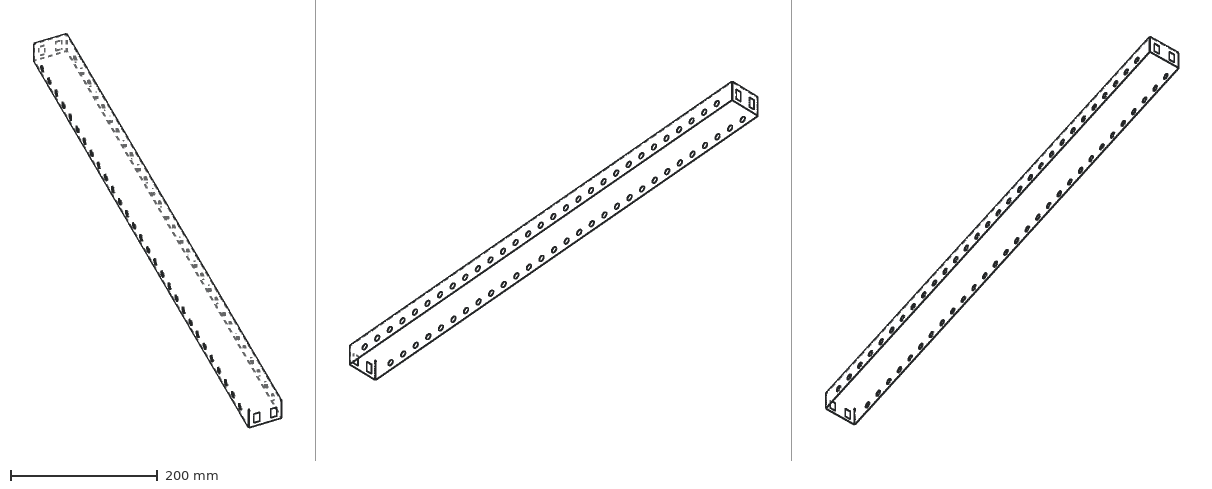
import cadquery as cq

length = 762.0
width = 50.0
height = 35.0

sheet = 1.5
inner_bend_radius = 1.0
outer_bend_radius = inner_bend_radius + sheet

corner_gap = 0.1
corner_notch = sheet + corner_gap

bend_relief = 2.0

hole_diameter = 9.0
hole_pitch = 25.0
hole_count = 29
hole_height = 12.5

slot_width = 8.5
slot_length = 17.0
slots_per_end = 2
slot_pitch = 25.0
slot_height = 15.25


def rounded_top_block(size_x, size_y, size_z, top_radius):
    """Block standing on Z = 0 whose top rim is rounded over."""
    block = cq.Workplane("XY").box(size_x, size_y, size_z, centered=(True, True, False))
    return block.faces(">Z").edges().fillet(top_radius)


def folded_shell():
    """Tray turned upside down: a top, two sides and two ends, open below."""
    outside = rounded_top_block(length, width, height, outer_bend_radius)
    inside = rounded_top_block(
        length - 2 * sheet, width - 2 * sheet, height - sheet, inner_bend_radius
    )
    return outside.cut(inside)


def side_holes():
    """Evenly spaced round holes running across the width."""
    return (
        cq.Workplane("XZ")
        .center(0, hole_height)
        .rarray(hole_pitch, width, hole_count, 1)
        .circle(hole_diameter / 2)
        .extrude(width, both=True)
    )


def end_slots():
    """Two upright rectangular slots running the whole length."""
    return (
        cq.Workplane("YZ")
        .center(0, slot_height)
        .rarray(slot_pitch, height, slots_per_end, 1)
        .rect(slot_width, slot_length)
        .extrude(length, both=True)
    )


def corner_cuts(size, bottom):
    """Square cuts at the four upright corners, from a given height to the top."""
    return (
        cq.Workplane("XY", origin=(0, 0, bottom))
        .rarray(length, width, 2, 2)
        .rect(2 * size, 2 * size)
        .extrude(height - bottom)
    )


result = (
    folded_shell()
    .cut(corner_cuts(corner_notch, 0))
    .cut(corner_cuts(bend_relief, height - bend_relief))
    .cut(side_holes())
    .cut(end_slots())
)